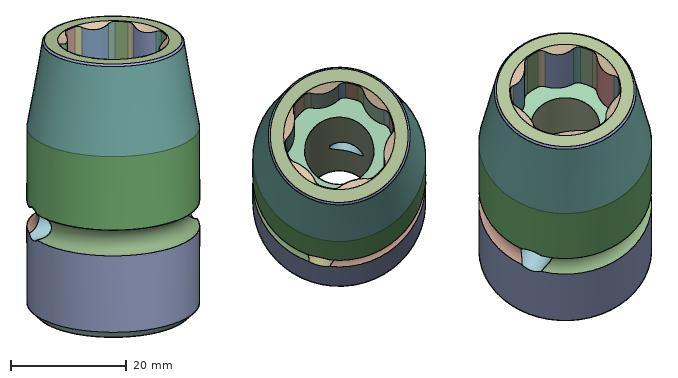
import cadquery as cq
import math

body_radius = 15.0
body_height = 50.0
taper_start_height = 34.0
taper_top_radius = 12.3
base_chamfer = 1.5
top_chamfer = 0.35

groove_height = 18.0
groove_depth = 2.0
groove_arc_radius = 2.4
pin_hole_diameter = 6.0

lobe_count = 6
recess_depth = 11.0
recess_corner_radius = 9.5
lobe_inner_radius = 8.12
lobe_arc_radius = 5.5
corner_fillet = 1.5
lead_in_radius = 9.65
lead_in_angle = 30.0
bore_diameter = 12.0


def make_body():
    """Cylinder with a chamfered base and a tapered, chamfered top."""
    taper_end_height = body_height - top_chamfer
    return (
        cq.Workplane("XZ")
        .moveTo(0, 0)
        .lineTo(body_radius - base_chamfer, 0)
        .lineTo(body_radius, base_chamfer)
        .lineTo(body_radius, taper_start_height)
        .lineTo(taper_top_radius, taper_end_height)
        .lineTo(taper_top_radius - top_chamfer, body_height)
        .lineTo(0, body_height)
        .close()
        .revolve(360, (0, 0, 0), (0, 1, 0))
    )


def make_groove():
    """Ring of round section, centred just outside the body surface."""
    section_centre = body_radius - groove_depth + groove_arc_radius
    return (
        cq.Workplane("XZ")
        .center(section_centre, groove_height)
        .circle(groove_arc_radius)
        .revolve(360, (-section_centre, 0, 0), (-section_centre, 1, 0))
    )


def make_pin_hole():
    """Cross hole through both walls along Y."""
    return (
        cq.Workplane("XZ")
        .center(0, groove_height)
        .circle(pin_hole_diameter / 2)
        .extrude(body_radius, both=True)
    )


def make_recess():
    """Round recess narrowed by convex lobes, with rounded corners between them."""
    floor = cq.Workplane("XY", origin=(0, 0, body_height - recess_depth))
    recess = floor.circle(recess_corner_radius).extrude(recess_depth)
    lobes = (
        floor.polarArray(lobe_inner_radius + lobe_arc_radius, 0, 360, lobe_count)
        .circle(lobe_arc_radius)
        .extrude(recess_depth)
    )
    return recess.cut(lobes).edges("|Z").fillet(corner_fillet)


def make_lead_in():
    """Cone that bevels the mouth of the recess."""
    cone_depth = lead_in_radius * math.tan(math.radians(lead_in_angle))
    tip = cq.Vector(0, 0, body_height - cone_depth)
    return cq.Workplane(cq.Solid.makeCone(0, lead_in_radius, cone_depth, tip))


def make_bore():
    """Round bore along the whole axis."""
    return cq.Workplane("XY").circle(bore_diameter / 2).extrude(body_height)


result = (
    make_body()
    .cut(make_groove())
    .cut(make_pin_hole())
    .cut(make_recess())
    .cut(make_lead_in())
    .cut(make_bore())
)